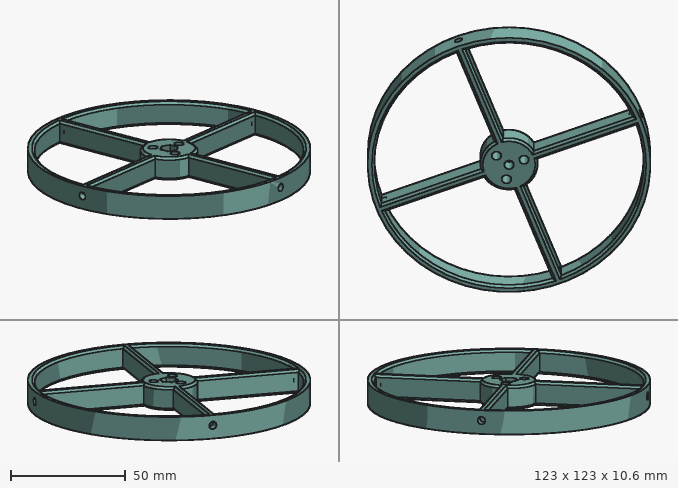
import cadquery as cq
import math

rim_diameter = 123.0
rim_wall = 3.0
wheel_height = 10.6

hub_diameter = 25.0
spoke_width = 4.0
spoke_count = 4
edge_chamfer = 1.1

bore_diameter = 4.0
bolt_circle_radius = 7.0
bolt_count = 3
first_bolt_angle = 90

hex_across_flats = 7.1
hex_depth = 3.3

radial_hole_diameter = 3.3
radial_hole_depth = 4.9
radial_hole_height = 6.0

rim_radius = rim_diameter / 2
rim_inner_radius = rim_radius - rim_wall
spoke_angles = [index * 360 / spoke_count for index in range(spoke_count)]


def make_body():
    """Rim, hub and spokes joined, with the openings chamfered at both ends."""
    rim = cq.Workplane("XY").circle(rim_radius).circle(rim_inner_radius).extrude(wheel_height)
    body = rim.union(cq.Workplane("XY").circle(hub_diameter / 2).extrude(wheel_height))
    spoke_length = rim_radius - rim_wall / 2
    for angle in spoke_angles:
        spoke = (
            cq.Workplane("XY")
            .rect(spoke_length, spoke_width)
            .extrude(wheel_height)
            .translate((spoke_length / 2, 0, 0))
            .rotate((0, 0, 0), (0, 0, 1), angle)
        )
        body = body.union(spoke)
    opening_edges = []
    for end_face in body.faces("|Z").vals():
        for wire in end_face.innerWires():
            opening_edges.extend(wire.Edges())
    return body.newObject(opening_edges).chamfer(edge_chamfer)


def make_hub_bores():
    """Central bore and bolt holes, all through the hub."""
    centers = [(0, 0)]
    for index in range(bolt_count):
        angle = math.radians(first_bolt_angle + index * 360 / bolt_count)
        centers.append((bolt_circle_radius * math.cos(angle), bolt_circle_radius * math.sin(angle)))
    return cq.Workplane("XY").pushPoints(centers).circle(bore_diameter / 2).extrude(wheel_height)


def make_hex_pocket():
    """Hexagon with two corners on the X axis, sunk from the top face."""
    across_corners = hex_across_flats / math.cos(math.pi / 6)
    pocket_floor = wheel_height - hex_depth
    return cq.Workplane("XY", origin=(0, 0, pocket_floor)).polygon(6, across_corners).extrude(hex_depth)


def make_radial_hole(angle):
    """Blind hole drilled from the outside of the rim toward the axis."""
    hole = (
        cq.Workplane("YZ", origin=(rim_radius - radial_hole_depth, 0, radial_hole_height))
        .circle(radial_hole_diameter / 2)
        .extrude(radial_hole_depth)
    )
    return hole.rotate((0, 0, 0), (0, 0, 1), angle)


result = make_body().cut(make_hub_bores()).cut(make_hex_pocket())
for spoke_angle in spoke_angles:
    result = result.cut(make_radial_hole(spoke_angle))